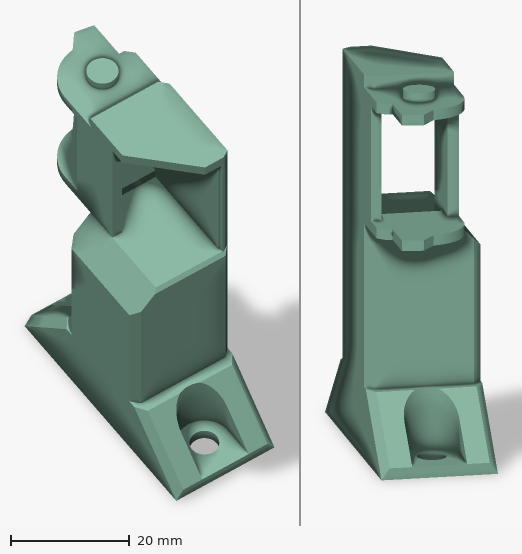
import cadquery as cq
import math

foot_length = 45.0
depth = 20.0
foot_height = 12.5
lip_height = 2.0
edge_chamfer = 1.4

screw_x = 16.3
screw_diameter = 5.0
seat_width = 9.45

post_width = 20.0
post_top = 41.15
right_bevel = 0.7

height = 67.0
bracket_front = -5.15
back = depth / 2
wall_left = -14.0
front_wall_right = -3.55
bracket_right = 9.45
front_wall_thickness = 2.0
back_wall_thickness = 1.9
back_corner_width = 0.9
end_step = 0.3
cap_thickness = 2.0
cap_diagonal = 10.0

plate_thickness = 1.8
upper_plate_top = 64.8
pin_x = -17.55
pin_y = 2.5
pin_diameter = 5.4
pin_height = 1.7
tip_left = foot_length / 2 - 50.5
tip_bottom_y = 3.9
tip_middle_y = 4.3
tip_top_x = -27.4
tip_top_y = 7.6
tip_root_y = 1.6
notch_x = -20.0

post_left = -post_width / 2
post_right = post_width / 2
cap_bottom = height - cap_thickness


def block(x_min, x_max, y_min, y_max, z_min, z_max):
    """Box given by its limits along each axis."""
    size = (x_max - x_min, y_max - y_min, z_max - z_min)
    return cq.Workplane("XY").box(*size, centered=False).translate((x_min, y_min, z_min))


def prism(points, z_min, z_max):
    """Vertical prism over a polygon in the XY plane."""
    return cq.Workplane("XY").workplane(offset=z_min).polyline(points).close().extrude(z_max - z_min)


def make_foot():
    half_length = foot_length / 2
    half_top = half_length - (foot_height - lip_height)
    outline = [
        (-half_length, 0),
        (half_length, 0),
        (half_length, lip_height),
        (half_top, foot_height),
        (-half_top, foot_height),
        (-half_length, lip_height),
    ]
    foot = cq.Workplane("XZ").polyline(outline).close().extrude(depth / 2, both=True)

    middle_x = (half_length + half_top) / 2
    middle_z = (lip_height + foot_height) / 2
    for x in (-middle_x, middle_x):
        for y in (-depth / 2, depth / 2):
            foot = foot.edges(cq.selectors.NearestToPointSelector((x, y, middle_z))).chamfer(edge_chamfer)
    return foot


def cut_screw_seat(body, side):
    """Through hole in a round-ended seat that opens at the foot's end."""
    center_x = side * screw_x
    seat = cq.Workplane("XY").circle(seat_width / 2).extrude(foot_height).translate((center_x, 0, lip_height))
    end_x = side * foot_length / 2
    opening = block(
        min(center_x, end_x), max(center_x, end_x),
        -seat_width / 2, seat_width / 2,
        lip_height, lip_height + foot_height,
    )
    hole = cq.Workplane("XY").center(center_x, 0).circle(screw_diameter / 2).extrude(foot_height)
    return body.cut(seat).cut(opening).cut(hole)


def make_post():
    post = block(post_left, post_right, -depth / 2, back, foot_height, post_top)
    post = post.edges("|Z").chamfer(edge_chamfer)

    slope_drop = bracket_front + depth / 2
    slope = (
        cq.Workplane("YZ")
        .polyline([(bracket_front, post_top), (-depth / 2, post_top), (-depth / 2, post_top - slope_drop)])
        .close()
        .extrude(post_width / 2, both=True)
    )
    post = post.cut(slope)

    bevel = (
        cq.Workplane("XZ")
        .polyline([
            (post_right - right_bevel, post_top),
            (post_right, post_top),
            (post_right, post_top - right_bevel),
        ])
        .close()
        .extrude(depth / 2, both=True)
    )
    return post.cut(bevel)


def right_back_corner():
    """Bevelled corner shared by the back wall and the cap."""
    return [(bracket_right, back - edge_chamfer), (bracket_right - back_corner_width, back)]


def left_back_corner(left):
    """45 degree bevelled corner at the back, for a part whose left end is at the given X."""
    return [(left + edge_chamfer, back), (left, back - edge_chamfer)]


def make_walls(left, z_min, z_max):
    """Front and back walls of the bracket, open between them; the back wall thins at its right end."""
    front_wall = block(
        left, front_wall_right,
        bracket_front, bracket_front + front_wall_thickness,
        z_min, z_max,
    )
    inner_back = back - back_wall_thickness
    step_x = bracket_right - back_corner_width
    outline = [
        (left, inner_back),
        (step_x, inner_back),
        (step_x, inner_back + end_step),
        (bracket_right, inner_back + end_step),
    ]
    outline += right_back_corner() + [(left, back)]
    return front_wall.union(prism(outline, z_min, z_max))


def make_cap():
    outline = [
        (post_left, bracket_front),
        (bracket_right - cap_diagonal, bracket_front),
        (bracket_right, bracket_front + cap_diagonal),
    ]
    outline += right_back_corner() + left_back_corner(post_left)
    return prism(outline, cap_bottom, height)


def make_plate(bottom):
    """Hinge plate: rounded about the pin, with a pointed tip and a notch behind it."""
    radius = pin_y - bracket_front
    root_x = pin_x - math.sqrt(radius**2 - (tip_root_y - pin_y) ** 2)
    middle = radius * math.sqrt(0.5)
    corner_start, corner_end = left_back_corner(notch_x)
    return (
        cq.Workplane("XY")
        .workplane(offset=bottom)
        .moveTo(post_left, bracket_front)
        .lineTo(pin_x, bracket_front)
        .threePointArc((pin_x - middle, pin_y - middle), (root_x, tip_root_y))
        .lineTo(tip_left, tip_bottom_y)
        .lineTo(tip_left, tip_middle_y)
        .lineTo(tip_top_x, tip_top_y)
        .lineTo(notch_x, tip_top_y)
        .lineTo(*corner_end)
        .lineTo(*corner_start)
        .lineTo(post_left, back)
        .close()
        .extrude(plate_thickness)
    )


def make_pin(bottom):
    return (
        cq.Workplane("XY")
        .workplane(offset=bottom)
        .center(pin_x, pin_y)
        .circle(pin_diameter / 2)
        .extrude(pin_height)
    )


result = make_foot()
for side in (-1, 1):
    result = cut_screw_seat(result, side)
result = result.union(make_post())

post_corner = prism([(post_left, back)] + left_back_corner(post_left), post_top, cap_bottom)
result = result.union(make_walls(post_left, post_top, cap_bottom).cut(post_corner))
result = result.union(make_walls(wall_left, post_top, upper_plate_top))
result = result.union(make_cap())

for plate_bottom in (post_top, upper_plate_top - plate_thickness):
    result = result.union(make_plate(plate_bottom))

web = block(
    post_left, front_wall_right,
    bracket_front, back - edge_chamfer,
    upper_plate_top - plate_thickness, cap_bottom,
)
result = result.union(web)

for pin_bottom in (post_top - pin_height, upper_plate_top):
    result = result.union(make_pin(pin_bottom))